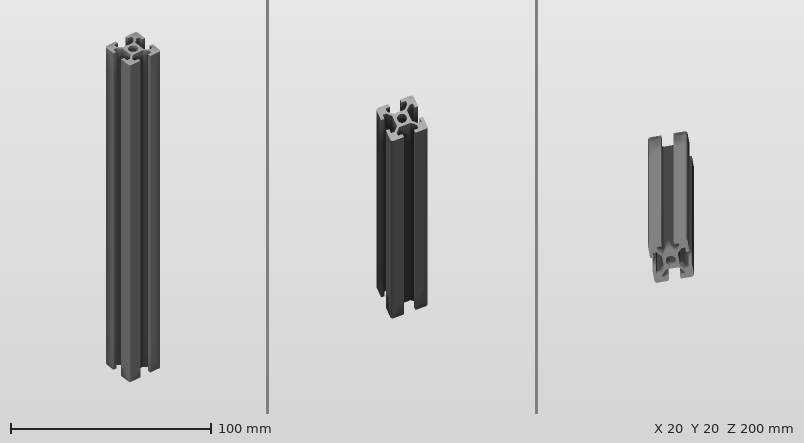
import cadquery as cq
import math

side = 20.0
length = 200.0
corner_radius = 1.2
bore_diameter = 5.0

slot_opening = 6.2
lip_thickness = 1.8
lip_radius = 0.2
pocket_width = 11.0
core_width = 8.0
web_thickness = 1.2

half_side = side / 2
half_opening = slot_opening / 2
half_pocket = pocket_width / 2
half_core = core_width / 2
lip_inner = half_side - lip_thickness
web_offset = web_thickness / math.sqrt(2)


def square_bar():
    """Solid bar with rounded long edges."""
    bar = cq.Workplane("XY").rect(side, side).extrude(length)
    return bar.edges("|Z").fillet(corner_radius)


def t_slot(angle):
    """Cutter for the +Y slot, turned about Z by the given angle."""
    right_side = [
        (half_core - web_offset, half_core),
        (half_pocket, half_pocket + web_offset),
        (half_pocket, lip_inner),
        (half_opening, lip_inner),
        (half_opening, half_side - lip_radius),
    ]
    left_side = [(-x, y) for x, y in reversed(right_side)]
    arc_shift = lip_radius * (1 - math.sqrt(0.5))
    mouth_middle = (half_opening + arc_shift, half_side - arc_shift)
    mouth_end = (half_opening + lip_radius, half_side)
    cutter = (
        cq.Workplane("XY")
        .polyline(left_side + right_side)
        .threePointArc(mouth_middle, mouth_end)
        .lineTo(-mouth_end[0], mouth_end[1])
        .threePointArc((-mouth_middle[0], mouth_middle[1]), left_side[0])
        .close()
        .extrude(length)
    )
    return cutter.rotate((0, 0, 0), (0, 0, 1), angle)


result = square_bar()
for slot_angle in (0, 90, 180, 270):
    result = result.cut(t_slot(slot_angle))

bore = cq.Workplane("XY").circle(bore_diameter / 2).extrude(length)
result = result.cut(bore)